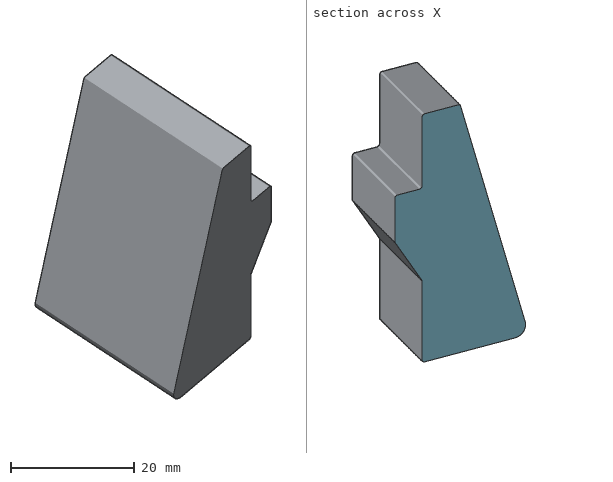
import cadquery as cq
import math

width = 30.0
depth = 23.95
height = 47.0

step_depth = 5.0
step_top = 33.0
step_bottom = 24.15
step_slope = 30.0

front_slope = 15.0
toe_radius = 2.0
edge_radius = 0.5

back_y = depth - step_depth
slope_foot = step_bottom - step_depth / math.tan(math.radians(step_slope))

slope_angle = math.radians(front_slope)


def front_face_y(z):
    """Y of the sloping front face, extended as a plane, at height z."""
    toe_offset = toe_radius / math.cos(slope_angle)
    return toe_radius - toe_offset + (z - toe_radius) * math.tan(slope_angle)


outline = [
    (front_face_y(0), 0),
    (back_y, 0),
    (back_y, slope_foot),
    (depth, step_bottom),
    (depth, step_top),
    (back_y, step_top),
    (back_y, height),
    (front_face_y(height), height),
]
body = cq.Workplane("YZ").polyline(outline).close().extrude(width / 2, both=True)


def round_edge(solid, y, z, radius):
    """Round the full-width edge passing through (y, z)."""
    edge = solid.edges("|X").edges(cq.selectors.NearestToPointSelector((0, y, z)))
    return edge.fillet(radius)


toe_corner = outline[0]
small_corners = [
    (back_y, 0),
    (depth, step_top),
    (back_y, step_top),
    (back_y, height),
    (front_face_y(height), height),
]

body = round_edge(body, *toe_corner, toe_radius)
for y, z in small_corners:
    body = round_edge(body, y, z, edge_radius)

result = body